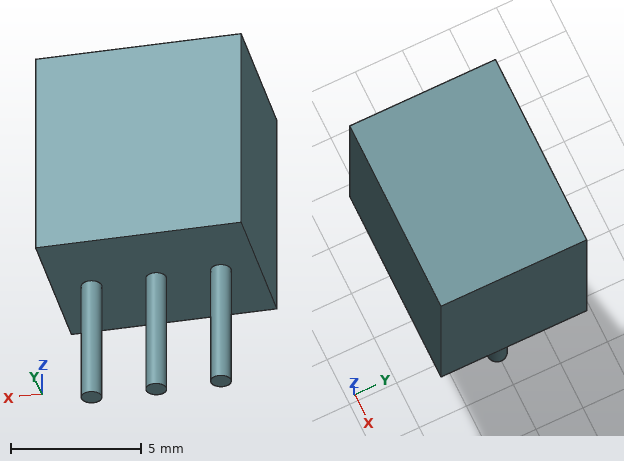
import cadquery as cq

total_height = 13.74
housing_width = 8.08
housing_depth = 6.2

pin_diameter = 0.8
pin_length = 5.08
pin_pitch = 2.54
pin_count = 3

housing_height = total_height - pin_length


def make_housing():
    """Plain block whose underside lies at Z = 0."""
    return cq.Workplane("XY").box(
        housing_width, housing_depth, housing_height, centered=(True, True, False)
    )


def make_pin(x):
    """Round pin hanging down from the underside of the housing."""
    return cq.Workplane("XY").center(x, 0).circle(pin_diameter / 2).extrude(-pin_length)


housing = make_housing()

first_pin_x = -pin_pitch * (pin_count - 1) / 2
pins = []
for index in range(pin_count):
    pins.append(make_pin(first_pin_x + index * pin_pitch).val())

result = cq.Compound.makeCompound([housing.val(), *pins])